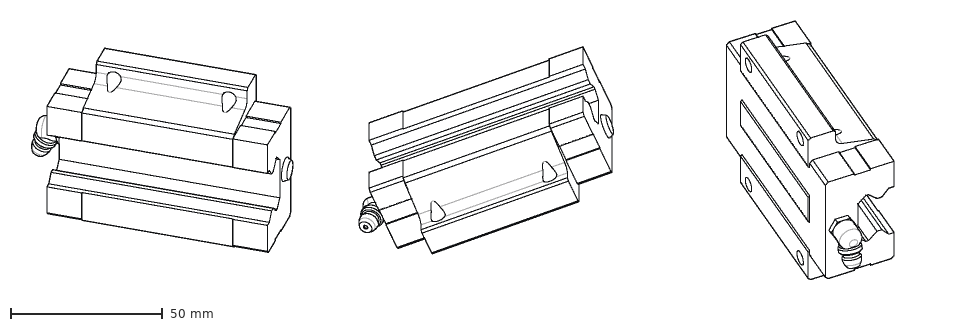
import cadquery as cq
import math


depth = 25.7
height = 63.0
block_length = 52.3
carriage_length = 76.5
cap_length = (carriage_length - block_length) / 2

block_front = 0.3
flange_thickness = 10.0
flange_front = depth - flange_thickness
flange_chamfer_y = 0.9
flange_chamfer_z = 0.8
flank_angle = 12
flank_end_y = 1.8
flank_end_z = 22.2
flank_corner_z = flank_end_z + (flange_front - flank_end_y) * math.tan(math.radians(flank_angle))
flank_fillet = 3.0
block_front_half = 21.1

groove_depth = 0.5
groove_inner = 5.4
groove_outer = 19.0

hole_diameter = 4.9
hole_pitch_x = 39.9
hole_pitch_z = 53.05

cap_back = depth - groove_depth
cap_half = 21.5
cap_chamfer = 1.1
cap_recess_depth = 0.5
cap_recess_from = 8.6
cap_recess_to = 14.5

channel_floor = 13.2
channel_floor_half = 7.5
channel_wide_half = 10.2
channel_throat_half = 7.25
relief_from, relief_to = 10.4, 9.4
throat_from, throat_to = 6.3, 4.5
mouth_from = 2.0

port_y = 19.2
plug_base_diameter = 8.2
plug_end_diameter = 6.6
plug_length = 1.6

hex_flats = 8.0
hex_length = 1.7
elbow_diameter = 8.0
elbow_length = 9.3
elbow_rounding = 2.5
nipple_axis_x = -43.0
nipple_tilt = 23.5
collar_diameter = 8.0
head_diameter = 6.6
shank_diameter = 7.0
collar_foot_diameter = 6.8
neck_diameter = 5.5
head_middle_diameter = 6.4
shoulder_diameter = 5.8
tip_diameter = 4.5
bore_diameter = 1.5
bore_depth = 0.5
shank_end, collar_start, collar_end = 3.5, 4.0, 5.4
neck_start, neck_end = 5.9, 7.2
head_start, head_middle, shoulder, nipple_end = 7.8, 8.8, 9.75, 11.0


def mirrored(points):
    """Close a half section by adding its mirror image across Z = 0."""
    return points + [(y, -z) for y, z in reversed(points)]


def bar(points, start, length):
    """Extrude a YZ outline along +X from the given X."""
    return cq.Workplane("YZ", origin=(start, 0, 0)).polyline(points).close().extrude(length)


def make_block():
    top = height / 2
    start = -block_length / 2
    section = mirrored([
        (block_front, block_front_half),
        (flank_end_y, flank_end_z),
        (flange_front, flank_corner_z),
        (flange_front, top - flange_chamfer_z),
        (flange_front + flange_chamfer_y, top),
        (depth - flange_chamfer_y, top),
        (depth, top - flange_chamfer_z),
    ])
    block = bar(section, start, block_length)
    for side in (1, -1):
        corner = cq.selectors.NearestToPointSelector((0, flange_front, side * flank_corner_z))
        block = block.edges(corner).fillet(flank_fillet)
        groove = [
            (depth, side * groove_outer),
            (depth - groove_depth, side * (groove_outer - groove_depth)),
            (depth - groove_depth, side * (groove_inner + groove_depth)),
            (depth, side * groove_inner),
        ]
        block = block.cut(bar(groove, start, block_length))
    holes = (
        cq.Workplane("XZ")
        .rarray(hole_pitch_x, hole_pitch_z, 2, 2)
        .circle(hole_diameter / 2)
        .extrude(-depth)
    )
    return block.cut(holes)


def make_cap(start):
    """End cap; the lower edge of its open face is chamfered, the upper one is square."""
    upper = [
        (0, cap_half),
        (cap_recess_from, cap_half),
        (cap_recess_from, cap_half - cap_recess_depth),
        (cap_recess_to, cap_half - cap_recess_depth),
        (cap_recess_to, cap_half),
        (cap_back - cap_chamfer, cap_half),
        (cap_back, cap_half - cap_chamfer),
    ]
    section = mirrored(upper)[:-1] + [(cap_chamfer, -cap_half), (0, cap_chamfer - cap_half)]
    return bar(section, start, cap_length)


def make_channel():
    section = mirrored([
        (0, channel_wide_half),
        (mouth_from, channel_wide_half),
        (throat_to, channel_throat_half),
        (throat_from, channel_throat_half),
        (relief_to, channel_wide_half),
        (relief_from, channel_wide_half),
        (channel_floor, channel_floor_half),
    ])
    return bar(section, -carriage_length / 2, carriage_length)


def make_plug():
    profile = [
        (0, 0),
        (0, plug_base_diameter / 2),
        (plug_length, plug_end_diameter / 2),
        (plug_length, 0),
    ]
    plug = cq.Workplane("XY").polyline(profile).close().revolve(360, (0, 0, 0), (1, 0, 0))
    return plug.translate((carriage_length / 2, port_y, 0))


def make_elbow():
    face = cq.Workplane("YZ", origin=(-carriage_length / 2, port_y, 0))
    hexagon = face.polygon(6, hex_flats / math.cos(math.pi / 6)).extrude(-hex_length)
    elbow = face.circle(elbow_diameter / 2).extrude(-elbow_length)
    return hexagon.union(elbow.faces("<X").edges().fillet(elbow_rounding))


def make_nipple():
    """Turned about the Z axis pointing down, then tilted and moved onto the elbow."""
    nipple = (
        cq.Workplane("XZ")
        .lineTo(shank_diameter / 2, 0)
        .lineTo(shank_diameter / 2, -shank_end)
        .lineTo(collar_diameter / 2, -collar_start)
        .lineTo(collar_diameter / 2, -collar_end)
        .lineTo(collar_foot_diameter / 2, -neck_start)
        .lineTo(neck_diameter / 2, -neck_start)
        .lineTo(neck_diameter / 2, -neck_end)
        .lineTo(head_diameter / 2, -head_start)
        .threePointArc((head_middle_diameter / 2, -head_middle), (shoulder_diameter / 2, -shoulder))
        .lineTo(tip_diameter / 2, -nipple_end)
        .lineTo(0, -nipple_end)
        .close()
        .revolve(360, (0, 0, 0), (0, 1, 0))
    )
    bore = cq.Workplane("XY", origin=(0, 0, -nipple_end)).circle(bore_diameter / 2).extrude(bore_depth)
    tilted = nipple.cut(bore).rotate((0, 0, 0), (0, 1, 0), nipple_tilt)
    return tilted.translate((nipple_axis_x, port_y, 0))


carriage = make_block()
for cap_start in (-carriage_length / 2, block_length / 2):
    carriage = carriage.union(make_cap(cap_start))
carriage = carriage.cut(make_channel())

result = carriage.union(make_plug()).union(make_elbow()).union(make_nipple())